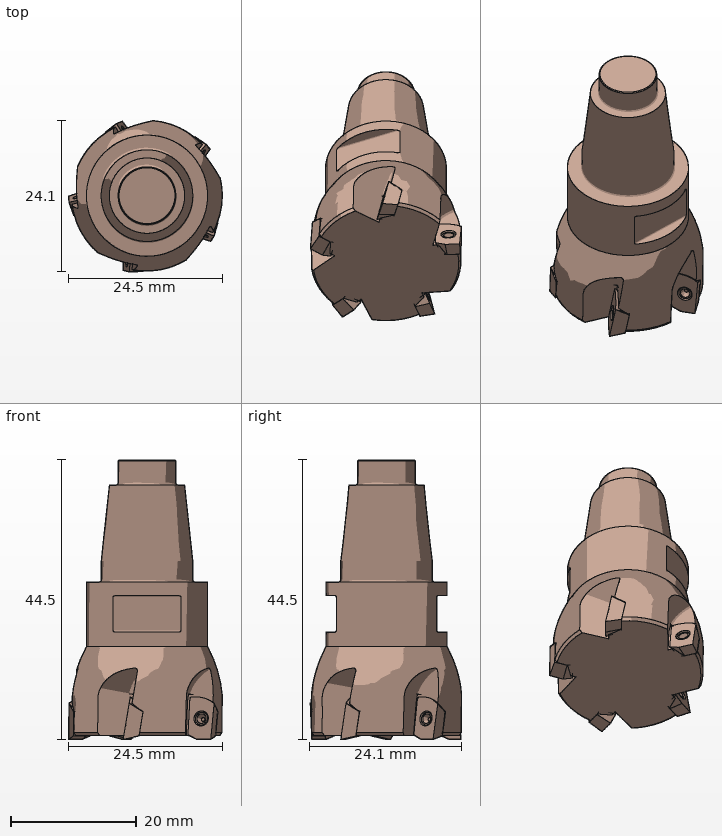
import cadquery as cq
import math

PILOT_RADIUS = 9.2 / 2
PILOT_CHAMFER = 0.15
PILOT_FILLET = 0.4
TOP_Z = 44.48
PILOT_BASE_Z = 40.5
CONE_TOP_RADIUS = 6.0
CONE_BASE_RADIUS = 7.3
CONE_BASE_Z = 28.4
CONE_FILLET = 0.4
COLLAR_RADIUS = 19.3 / 2
COLLAR_TOP_Z = 25.05
COLLAR_BASE_Z = 14.8
NECK_RADIUS = 9.8
NECK_Z = 14.5
BULB_MID_RADIUS = 11.35
BULB_MID_Z = 10.6
HEAD_RADIUS = 12.0
BAND_TOP_Z = 7.0
BAND_BASE_Z = 6.0
RIM_TOP_Z = 4.55
RIM_RADIUS = 11.95
HEAD_BASE_Z = 0.6
RIM_CHAMFER_RADIAL = 0.35
RIM_CHAMFER_HEIGHT = 0.55

FLATS_ACROSS = 16.0
FLATS_BASE_Z = 17.1
FLATS_TOP_Z = 22.9
FLATS_FILLET = 0.25

STATION_COUNT = 5
STATION_PITCH = 360 / STATION_COUNT
AXIAL_RAKE = 9.5
RAKE_OFFSET = 3.8
REACH = 20.0

INSERT_INNER_U = 8.05
INSERT_EDGE_BASE_U = 11.9
INSERT_EDGE_TOP_U = 12.15
INSERT_BLANK_U = INSERT_EDGE_TOP_U + 2.0
INSERT_THICKNESS = 2.4
INSERT_CLEARANCE = 22.0
INSERT_INNER_BASE_V = 0.7
INSERT_INNER_TOP_V = 6.8
INSERT_CREST_U = 9.6
INSERT_CREST_V = 6.85
INSERT_OUTER_TOP_V = 5.85
FLANK_LAND_WIDTH = 0.55
FLANK_CLEARANCE = 1.0

SCREW_U = 10.12
SCREW_V = 3.4
SINK_DIAMETER = 2.4
SCREW_HEAD_DIAMETER = 2.05
SCREW_HEAD_DEPTH = 0.2
SOCKET_DIAMETER = 1.55
SOCKET_DEPTH = 0.8
SOCKET_END_DIAMETER = 0.6

WALL_SETBACK = 0.45
FLOOR_ANGLE = 16.0
FLOOR_BASE_DISTANCE = 7.49
FLOOR_TOP_DISTANCE = 7.37
FLOOR_TOP_V = 6.0
LEDGE_DISTANCE = 7.42
LEDGE_V = 6.95
RUNOUT_DISTANCE = 7.53
RUNOUT_BASE_V = 7.35
RUNOUT_RADIUS = 7.0
RUNOUT_START_ANGLE = 14.0
RUNOUT_END_ANGLE = 75.0
GULLET_FILLET = 0.5

RAKE_SIN = math.sin(math.radians(AXIAL_RAKE))
RAKE_COS = math.cos(math.radians(AXIAL_RAKE))
RAKE_PLANE = cq.Plane(
    origin=(-RAKE_OFFSET, 0, 0),
    xDir=(0, -1, 0),
    normal=(-RAKE_COS, 0, RAKE_SIN),
)


def make_turned_body():
    """Pilot, tapered seat, collar and bulbous head as one revolved profile."""
    fillet_mid = 1 - math.sqrt(0.5)
    profile = (
        cq.Workplane("XZ")
        .moveTo(0, HEAD_BASE_Z)
        .lineTo(RIM_RADIUS - RIM_CHAMFER_RADIAL, HEAD_BASE_Z)
        .lineTo(RIM_RADIUS, HEAD_BASE_Z + RIM_CHAMFER_HEIGHT)
        .lineTo(RIM_RADIUS, RIM_TOP_Z)
        .lineTo(HEAD_RADIUS, BAND_BASE_Z)
        .lineTo(HEAD_RADIUS, BAND_TOP_Z)
        .threePointArc((BULB_MID_RADIUS, BULB_MID_Z), (NECK_RADIUS, NECK_Z))
        .lineTo(COLLAR_RADIUS, COLLAR_BASE_Z)
        .lineTo(COLLAR_RADIUS, COLLAR_TOP_Z)
        .lineTo(CONE_BASE_RADIUS + CONE_FILLET, COLLAR_TOP_Z)
        .threePointArc(
            (CONE_BASE_RADIUS + CONE_FILLET * fillet_mid, COLLAR_TOP_Z + CONE_FILLET * fillet_mid),
            (CONE_BASE_RADIUS, COLLAR_TOP_Z + CONE_FILLET),
        )
        .lineTo(CONE_BASE_RADIUS, CONE_BASE_Z)
        .lineTo(CONE_TOP_RADIUS, PILOT_BASE_Z)
        .lineTo(PILOT_RADIUS + PILOT_FILLET, PILOT_BASE_Z)
        .threePointArc(
            (PILOT_RADIUS + PILOT_FILLET * fillet_mid, PILOT_BASE_Z + PILOT_FILLET * fillet_mid),
            (PILOT_RADIUS, PILOT_BASE_Z + PILOT_FILLET),
        )
        .lineTo(PILOT_RADIUS, TOP_Z - PILOT_CHAMFER)
        .lineTo(PILOT_RADIUS - PILOT_CHAMFER, TOP_Z)
        .lineTo(0, TOP_Z)
        .close()
    )
    return profile.revolve(360, (0, 0, 0), (0, 1, 0))


def make_flat_cutter(side):
    """Block that mills one spanner flat; side is -1 or +1 along Y."""
    depth = COLLAR_RADIUS
    height = FLATS_TOP_Z - FLATS_BASE_Z
    centre_y = side * (FLATS_ACROSS + depth) / 2
    block = cq.Workplane("XY").box(2 * COLLAR_RADIUS, depth, height)
    inner_edges = block.faces("<Y" if side > 0 else ">Y").edges("|X")
    rounded = inner_edges.fillet(FLATS_FILLET)
    return rounded.translate((0, centre_y, (FLATS_BASE_Z + FLATS_TOP_Z) / 2))


def at_station(shape, index):
    """Move a solid from the station frame to its place around the axis."""
    placed = shape.val().moved(cq.Location(RAKE_PLANE))
    return cq.Workplane("XY").newObject([placed]).rotate((0, 0, 0), (0, 0, 1), index * STATION_PITCH)


def ahead_of_wall(outline):
    """Sweep a closed gullet outline along its floor and keep what lies ahead of the gullet wall."""
    sweep = outline.extrude(REACH, both=True).rotate((0, 0, 0), (0, 1, 0), FLOOR_ANGLE)
    ahead = (
        cq.Workplane("XY")
        .workplane(offset=-WALL_SETBACK)
        .box(4 * REACH, 4 * REACH, REACH, centered=(True, True, False))
    )
    return sweep.intersect(ahead)


def runout_point(angle):
    """Point on the runout arc where its slope is the given angle from the v direction."""
    start = math.radians(RUNOUT_START_ANGLE)
    here = math.radians(angle)
    return (
        RUNOUT_DISTANCE + RUNOUT_RADIUS * (math.cos(start) - math.cos(here)),
        RUNOUT_BASE_V + RUNOUT_RADIUS * (math.sin(here) - math.sin(start)),
    )


def make_gullet_cutter():
    """Chip gullet: ledged floor, then a runout that curves outward with a rounded root."""
    floor = ahead_of_wall(
        cq.Workplane("XY")
        .polyline([
            (FLOOR_BASE_DISTANCE, -REACH),
            (FLOOR_BASE_DISTANCE, 0),
            (FLOOR_TOP_DISTANCE, FLOOR_TOP_V),
            (LEDGE_DISTANCE, LEDGE_V),
            (RUNOUT_DISTANCE, RUNOUT_BASE_V),
            (REACH, RUNOUT_BASE_V),
            (REACH, -REACH),
        ])
        .close()
    )
    runout_top = runout_point(RUNOUT_END_ANGLE)
    runout = ahead_of_wall(
        cq.Workplane("XY")
        .moveTo(RUNOUT_DISTANCE, RUNOUT_BASE_V)
        .threePointArc(runout_point((RUNOUT_START_ANGLE + RUNOUT_END_ANGLE) / 2), runout_top)
        .lineTo(REACH, runout_top[1])
        .lineTo(REACH, RUNOUT_BASE_V)
        .close()
    )
    root_edge = runout.faces("<Z").edges("%ELLIPSE or %BSPLINE")
    return floor.union(root_edge.fillet(GULLET_FILLET))


def make_insert_blank():
    """Plain insert without its screw recess, tapering back from the rake face."""
    blank = (
        cq.Workplane("XY")
        .moveTo(INSERT_INNER_U, INSERT_INNER_BASE_V)
        .lineTo(INSERT_INNER_U, INSERT_INNER_TOP_V)
        .threePointArc((INSERT_CREST_U, INSERT_CREST_V), (INSERT_EDGE_TOP_U, INSERT_OUTER_TOP_V))
        .lineTo(INSERT_BLANK_U, INSERT_OUTER_TOP_V)
        .lineTo(INSERT_BLANK_U, 0)
        .lineTo(INSERT_CREST_U, 0)
        .close()
        .extrude(-INSERT_THICKNESS, taper=INSERT_CLEARANCE)
    )
    edge_lean = math.degrees(math.atan2(INSERT_EDGE_TOP_U - INSERT_EDGE_BASE_U, INSERT_OUTER_TOP_V))
    flank_drop = (INSERT_THICKNESS - FLANK_LAND_WIDTH) * math.tan(math.radians(FLANK_CLEARANCE))
    flank = (
        cq.Workplane("XZ")
        .polyline([
            (0, 0),
            (INSERT_EDGE_BASE_U, 0),
            (INSERT_EDGE_BASE_U, -FLANK_LAND_WIDTH),
            (INSERT_EDGE_BASE_U - flank_drop, -INSERT_THICKNESS),
            (0, -INSERT_THICKNESS),
        ])
        .close()
        .extrude(REACH, both=True)
        .rotate((INSERT_EDGE_BASE_U, 0, 0), (INSERT_EDGE_BASE_U, 0, 1), -edge_lean)
    )
    return blank.intersect(flank)


def make_screw_recess():
    """Countersunk ring and tapered socket of the screw that sits flush in an insert."""
    sink = (
        cq.Workplane("XY", origin=(SCREW_U, SCREW_V, 0))
        .circle(SINK_DIAMETER / 2)
        .workplane(offset=-SCREW_HEAD_DEPTH)
        .circle(SCREW_HEAD_DIAMETER / 2)
        .loft()
    )
    socket = (
        cq.Workplane("XY", origin=(SCREW_U, SCREW_V, -SCREW_HEAD_DEPTH))
        .circle(SOCKET_DIAMETER / 2)
        .workplane(offset=-SOCKET_DEPTH)
        .circle(SOCKET_END_DIAMETER / 2)
        .loft()
    )
    return sink.union(socket)


gullet_cutter = make_gullet_cutter()
insert_blank = make_insert_blank()
screw_recess = make_screw_recess()

inserts = []
cutter_body = make_turned_body()
for flat_side in (-1, 1):
    cutter_body = cutter_body.cut(make_flat_cutter(flat_side))
for station in range(STATION_COUNT):
    seated_blank = at_station(insert_blank, station)
    cutter_body = cutter_body.cut(at_station(gullet_cutter, station)).cut(seated_blank)
    inserts.append(seated_blank.cut(at_station(screw_recess, station)))

result = cq.Compound.makeCompound([cutter_body.val(), *[body.val() for body in inserts]])